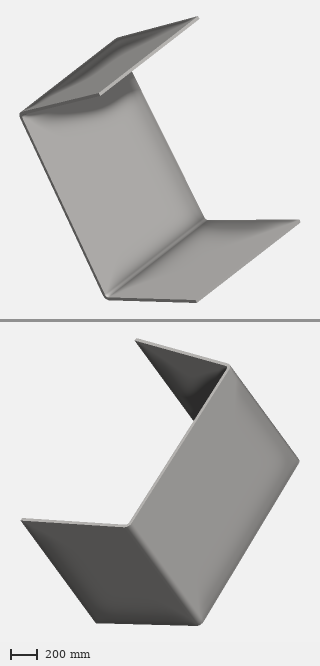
import cadquery as cq
import math

thickness = 25.0
inner_radius = thickness
outer_radius = inner_radius + thickness
flange_length = 930.0
web_length = 1507.0
upper_angle = 37.3
web_angle = -58.4
lower_angle = 26.0

total_length = 1700.0
narrow_width = 1120.0
wide_width = 1217.0


def step(point, distance, angle):
    """Point reached by moving the distance at an angle (degrees) in the XZ plane."""
    turn = math.radians(angle)
    return (point[0] + distance * math.cos(turn), point[1] + distance * math.sin(turn))


web_drop = -web_length * math.sin(math.radians(web_angle))
upper_bend = (outer_radius, outer_radius + web_drop)
lower_bend = step(upper_bend, web_length, web_angle)
upper_tip = step(upper_bend, flange_length, upper_angle)
lower_tip = step(lower_bend, flange_length, lower_angle)

upper_normal = upper_angle + 90
web_normal = web_angle - 90
lower_normal = lower_angle - 90
upper_bend_middle = (upper_normal + web_normal + 360) / 2
lower_bend_middle = (web_normal + lower_normal) / 2

profile = (
    cq.Workplane("XZ")
    .moveTo(*step(upper_tip, outer_radius, upper_normal))
    .lineTo(*step(upper_bend, outer_radius, upper_normal))
    .threePointArc(
        step(upper_bend, outer_radius, upper_bend_middle),
        step(upper_bend, outer_radius, web_normal),
    )
    .lineTo(*step(lower_bend, outer_radius, web_normal))
    .threePointArc(
        step(lower_bend, outer_radius, lower_bend_middle),
        step(lower_bend, outer_radius, lower_normal),
    )
    .lineTo(*step(lower_tip, outer_radius, lower_normal))
    .lineTo(*step(lower_tip, inner_radius, lower_normal))
    .lineTo(*step(lower_bend, inner_radius, lower_normal))
    .threePointArc(
        step(lower_bend, inner_radius, lower_bend_middle),
        step(lower_bend, inner_radius, web_normal),
    )
    .lineTo(*step(upper_bend, inner_radius, web_normal))
    .threePointArc(
        step(upper_bend, inner_radius, upper_bend_middle),
        step(upper_bend, inner_radius, upper_normal),
    )
    .lineTo(*step(upper_tip, inner_radius, upper_normal))
    .close()
)

margin = 97.0
sheet = profile.extrude(-(wide_width + margin))
widening = (wide_width - narrow_width) / total_length
plan_outline = (
    cq.Workplane("XY")
    .workplane(offset=-margin)
    .polyline([
        (-margin, 0),
        (total_length + margin, 0),
        (total_length + margin, wide_width + margin * widening),
        (-margin, narrow_width - margin * widening),
    ])
    .close()
    .extrude(2 * (total_length + margin))
)
result = sheet.intersect(plan_outline)